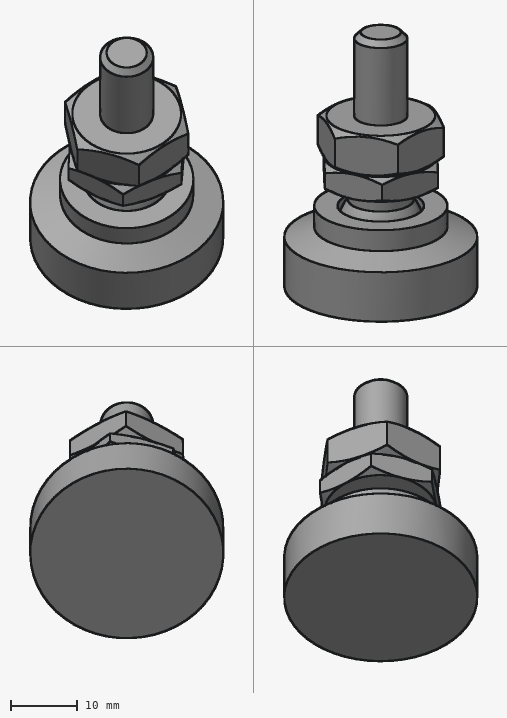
import cadquery as cq
import math

foot_diameter = 29.0
rim_diameter = 20.0
shoulder_height = 8.0
shoulder_slope = 20.0
foot_height = 13.0

ball_diameter = 12.95
ball_center_height = 9.8
neck_diameter = 9.9
thread_diameter = 8.0
tip_chamfer = 1.0
stud_top = 41.0

across_flats = 17.0
corner_slope = 30.0
collar_bottom = 17.0
collar_height = 4.0
collar_face_diameter = across_flats
collar_turn = 16.0
nut_height = 6.52
nut_face_diameter = 16.33
nut_turn = 30.0
nut_bottom = collar_bottom + collar_height


def cylinder(diameter, bottom, top):
    return cq.Workplane("XY").workplane(offset=bottom).circle(diameter / 2).extrude(top - bottom)


def ball():
    return cq.Workplane("XY").sphere(ball_diameter / 2).translate((0, 0, ball_center_height))


def chamfered_hexagon(height, face_diameter, turn, bottom):
    """Hexagonal prism whose corners are cut by a cone at each end."""
    corner_diameter = across_flats / math.cos(math.radians(30))
    face_radius = face_diameter / 2
    corner_radius = corner_diameter / 2
    corner_drop = (corner_radius - face_radius) * math.tan(math.radians(corner_slope))
    prism = cq.Workplane("XY").polygon(6, corner_diameter).extrude(height)
    envelope = (
        cq.Workplane("XZ")
        .moveTo(0, 0)
        .lineTo(face_radius, 0)
        .lineTo(corner_radius, corner_drop)
        .lineTo(corner_radius, height - corner_drop)
        .lineTo(face_radius, height)
        .lineTo(0, height)
        .close()
        .revolve(360, (0, 0, 0), (0, 1, 0))
    )
    hexagon = prism.intersect(envelope)
    return hexagon.rotate((0, 0, 0), (0, 0, 1), turn).translate((0, 0, bottom))


def make_foot():
    """Round foot with a sloping shoulder, a raised rim and a round-bottomed ball socket."""
    foot_radius = foot_diameter / 2
    rim_radius = rim_diameter / 2
    shoulder_rise = (foot_radius - rim_radius) * math.tan(math.radians(shoulder_slope))
    body = (
        cq.Workplane("XZ")
        .moveTo(0, 0)
        .lineTo(foot_radius, 0)
        .lineTo(foot_radius, shoulder_height)
        .lineTo(rim_radius, shoulder_height + shoulder_rise)
        .lineTo(rim_radius, foot_height)
        .lineTo(0, foot_height)
        .close()
        .revolve(360, (0, 0, 0), (0, 1, 0))
    )
    socket = ball().union(cylinder(ball_diameter, ball_center_height, foot_height))
    return body.cut(socket)


def make_stud():
    """Ball, neck, hexagonal collar and plain threaded shank in one piece."""
    neck = cylinder(neck_diameter, ball_center_height, collar_bottom)
    collar = chamfered_hexagon(collar_height, collar_face_diameter, collar_turn, collar_bottom)
    shank = cylinder(thread_diameter, nut_bottom, stud_top).faces(">Z").chamfer(tip_chamfer)
    return ball().union(neck).union(collar).union(shank)


def make_nut():
    """Hexagonal nut resting on the collar."""
    blank = chamfered_hexagon(nut_height, nut_face_diameter, nut_turn, nut_bottom)
    return blank.cut(cylinder(thread_diameter, nut_bottom, nut_bottom + nut_height))


foot = make_foot().solids()
stud = make_stud().solids()
nut = make_nut().solids()

result = cq.Compound.makeCompound([foot.val(), stud.val(), nut.val()])